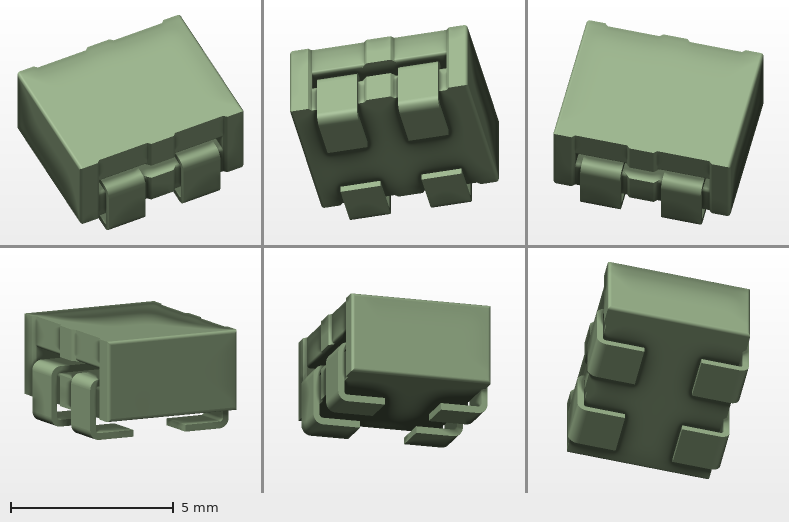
import cadquery as cq

total_height = 3.21
strap_span = 4.8

housing_width = 4.49
housing_length = 5.6
housing_height = 2.51
end_round = 0.1

recess_depth = 0.095
recess_outer_y = 2.21
pad_half_length = 0.38

slot_top = 2.23
slot_floor = 1.675
slot_edge_round = 0.105

strap_width = 1.255
strap_spacing = 2.55
plate_thickness = 0.21
leg_thickness = 0.195
bend_outer_radius = 0.31
bend_inner_radius = 0.1
foot_gap = 1.805

housing_bottom = total_height - housing_height
pad_x = housing_width / 2
recess_x = pad_x - recess_depth
slot_length = 2 * (recess_outer_y - recess_depth)
strap_top = slot_floor + plate_thickness


def make_end_block(end):
    """Full-height end of the housing; end is +1 or -1 along Y."""
    block_length = (housing_length - slot_length) / 2
    block_center_y = end * (housing_length - block_length) / 2
    outer_face, inner_face = (">Y", "<Y") if end > 0 else ("<Y", ">Y")
    return (
        cq.Workplane("XY", origin=(0, block_center_y, housing_bottom))
        .box(housing_width, block_length, housing_height, centered=(True, True, False))
        .faces(inner_face).edges("|Z").chamfer(recess_depth)
        .faces(outer_face).edges().fillet(end_round)
    )


def make_slab(bottom, top, slot_face):
    """Plate above or below the slot, with rounded slot edges and a raised pad on each side."""
    height = top - bottom
    base = cq.Workplane("XY", origin=(0, 0, bottom))
    slab = (
        base.box(2 * recess_x, slot_length, height, centered=(True, True, False))
        .faces(slot_face).edges("|Y").fillet(slot_edge_round)
    )
    root_x = recess_x - slot_edge_round
    root_y = pad_half_length + pad_x - root_x
    for side in (-1, 1):
        pad_outline = [
            (side * root_x, -root_y),
            (side * pad_x, -pad_half_length),
            (side * pad_x, pad_half_length),
            (side * root_x, root_y),
        ]
        slab = slab.union(base.polyline(pad_outline).close().extrude(height))
    return slab


def make_housing():
    lower_slab = make_slab(housing_bottom, slot_floor, ">Z")
    upper_slab = make_slab(slot_top, total_height, "<Z")
    body = lower_slab
    for part in (make_end_block(-1), make_end_block(1), upper_slab):
        body = body.union(part)
    return body.clean()


def make_strap(center_y):
    """Closed rounded loop with a gap cut in its bottom, leaving two feet."""
    outer = (
        cq.Workplane("XY")
        .box(strap_span, strap_width, strap_top, centered=(True, True, False))
        .edges("|Y").fillet(bend_outer_radius)
    )
    opening = (
        cq.Workplane("XY", origin=(0, 0, plate_thickness))
        .box(
            strap_span - 2 * leg_thickness,
            strap_width,
            slot_floor - plate_thickness,
            centered=(True, True, False),
        )
        .edges("|Y").fillet(bend_inner_radius)
    )
    foot_break = cq.Workplane("XY").box(
        foot_gap, strap_width, plate_thickness, centered=(True, True, False)
    )
    return outer.cut(opening).cut(foot_break).translate((0, center_y, 0))


housing = make_housing()
straps = [make_strap(end * strap_spacing / 2) for end in (-1, 1)]

result = cq.Compound.makeCompound([housing.solids().val(), *[strap.solids().val() for strap in straps]])